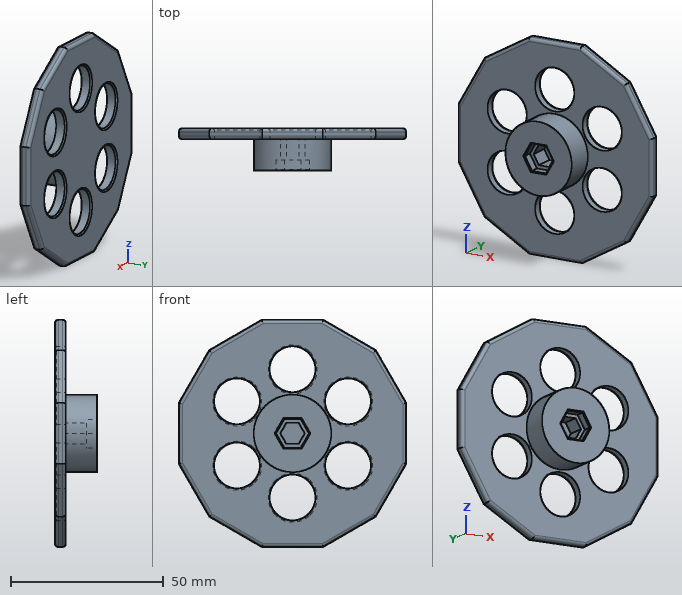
import cadquery as cq
import math

plate_width = 74.55
plate_thickness = 3.65
plate_sides = 12
edge_radius = 1.2

total_depth = 13.9
hub_diameter = 25.4
hub_height = total_depth - plate_thickness

hole_count = 6
hole_diameter = 15.0
hole_circle_radius = 21.0
hole_chamfer = 0.5

socket_mouth_width = 10.15
socket_chamfer = 0.4
socket_width = socket_mouth_width - 2 * socket_chamfer
socket_depth = 3.5
inner_socket_width = 6.9
inner_socket_depth = hub_height


def across_corners(width, sides):
    """Corner-to-corner diameter of a regular polygon with the given width across flats."""
    return width / math.cos(math.pi / sides)


def facing_plane(y):
    """Plane parallel to XZ at height y, with its normal towards -Y."""
    return cq.Workplane("XZ", origin=(0, y, 0))


def hexagon_cut(width, depth):
    """Hexagonal prism going into the hub from its end face."""
    return facing_plane(-hub_height).polygon(6, across_corners(width, 6)).extrude(-depth)


def make_plate():
    half_sector = 180 / plate_sides
    plate = (
        facing_plane(plate_thickness)
        .polygon(plate_sides, across_corners(plate_width, plate_sides))
        .extrude(plate_thickness)
        .rotate((0, 0, 0), (0, 1, 0), half_sector)
    )
    return plate.faces("<Y or >Y").edges().fillet(edge_radius)


def make_holes():
    holes = (
        facing_plane(plate_thickness)
        .polarArray(hole_circle_radius, 90, 360, hole_count)
        .circle(hole_diameter / 2)
        .extrude(plate_thickness)
    )
    hole_rims = (
        facing_plane(plate_thickness)
        .polarArray(hole_circle_radius, 90, 360, hole_count)
        .circle(hole_diameter / 2 + hole_chamfer)
        .extrude(hole_chamfer, taper=45)
    )
    return holes.union(hole_rims)


def make_socket():
    mouth = (
        facing_plane(-hub_height)
        .polygon(6, across_corners(socket_mouth_width, 6))
        .workplane(offset=-socket_chamfer)
        .polygon(6, across_corners(socket_width, 6))
        .loft(ruled=True)
    )
    outer = hexagon_cut(socket_width, socket_depth)
    inner = hexagon_cut(inner_socket_width, inner_socket_depth)
    return mouth.union(outer).union(inner)


hub = facing_plane(0).circle(hub_diameter / 2).extrude(hub_height)
result = make_plate().cut(make_holes()).union(hub).cut(make_socket())